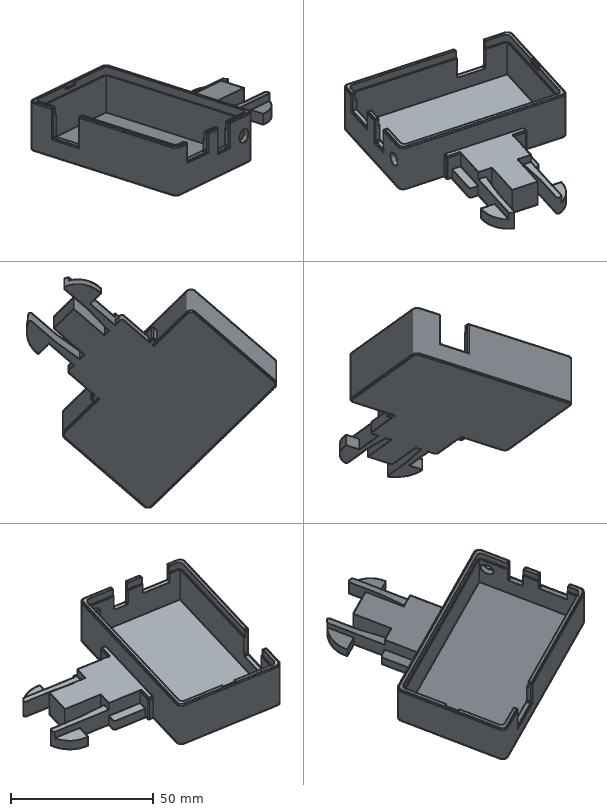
import cadquery as cq
import math

overall_length = 80.4

tray_length = 66.8
tray_width = 42.4
tray_height = 18.9
tray_corner_radius = 2.1
edge_chamfer = 0.5
wall = 2.1
floor = 1.5
lip_wall = 1.6
lip_depth = 3.1
lip_corner_radius = 1.5

front_notch_width = 11.5
front_notch_start = 10.7
front_notch_floor = 7.2

rear_notch_start = 13.1
rear_notch_end = 19.0
rear_notch_floor = 9.3
side_notch_start = 25.0
side_notch_end = 36.1
side_notch_floor = 11.6
hole_diameter = 5.0
hole_from_back = 5.1
hole_height = 11.0

groove_width = 5.1
groove_wall = 0.9
groove_depth = 1.5

clip_height = 10.2
flange_half_width = 16.1
flange_thickness = 2.0
body_half_width = 10.5
body_length = 14.95
shoulder_half_width = 14.0
shoulder_height = 4.2
shoulder_radius = 1.0
tongue_half_width = 5.15
tongue_length = 29.7
arm_height = 7.1
arm_tip_inner = 8.4
arm_root_inner = 7.5
arm_taper_end = 25.7
hook_half_width = flange_half_width
hook_heel = 26.9
hook_arc_start = 27.7
hook_tip_radius = 0.65
clip_length = overall_length - tray_width

half_length = tray_length / 2
tray_back = tray_width / 2
tray_front = -tray_width / 2
overlap = 0.8


def box(x0, x1, y0, y1, z0, z1):
    """Axis-aligned block between the given limits."""
    block = cq.Workplane("XY").box(x1 - x0, y1 - y0, z1 - z0, centered=False)
    return block.translate((x0, y0, z0))


def make_tray():
    """Open tray with a ledge around the rim for the lid."""
    shell = (
        cq.Workplane("XY")
        .rect(tray_length, tray_width)
        .extrude(tray_height)
        .edges("|Z").fillet(tray_corner_radius)
        .faces("<Z or >Z").edges().chamfer(edge_chamfer)
    )
    cavity = (
        cq.Workplane("XY", origin=(0, 0, floor))
        .rect(tray_length - 2 * wall, tray_width - 2 * wall)
        .extrude(tray_height)
    )
    lid_seat = (
        cq.Workplane("XY", origin=(0, 0, tray_height - lip_depth))
        .rect(tray_length - 2 * lip_wall, tray_width - 2 * lip_wall)
        .extrude(tray_height)
        .edges("|Z").fillet(lip_corner_radius)
    )
    return shell.cut(cavity).cut(lid_seat)


def notch_cutter(width, bottom, cut_left_corner=True):
    """Notch through a wall whose outer face is the plane Y=0.

    Its floor corners are cut at 45 degrees (the -X one optionally left square), it flares at the rim
    and it widens towards the outer face.
    """
    c = edge_chamfer
    half = width / 2
    rim = tray_height
    right_side = [(half - c, bottom), (half, bottom + c), (half, rim - c), (half + c, rim)]
    left_floor = [(-half, bottom + c), (c - half, bottom)] if cut_left_corner else [(-half, bottom)]
    left_side = [(-half - c, rim), (-half, rim - c)] + left_floor
    slot = cq.Workplane("XZ").polyline(right_side + left_side).close().extrude(-wall)
    bevel = (
        cq.Workplane("XZ")
        .center(0, (rim + bottom - c) / 2)
        .rect(width + 2 * c, rim - bottom + c)
        .workplane(offset=-c)
        .center(0, c / 2)
        .rect(width, rim - bottom)
        .loft()
    )
    return slot.union(bevel)


def front_notch():
    cutter = notch_cutter(front_notch_width, front_notch_floor)
    return cutter.translate((-half_length + front_notch_start + front_notch_width / 2, tray_front, 0))


def right_notch(start, end, bottom, cut_front_corner=True):
    cutter = notch_cutter(end - start, bottom, cut_front_corner).rotate((0, 0, 0), (0, 0, 1), 90)
    return cutter.translate((half_length, tray_back - (start + end) / 2, 0))


def hole():
    return (
        cq.Workplane("YZ", origin=(half_length - wall, tray_back - hole_from_back, hole_height))
        .circle(hole_diameter / 2)
        .extrude(wall)
    )


def pry_groove():
    x0 = -half_length + groove_wall
    return box(x0, x0 + wall, -groove_width / 2, groove_width / 2, tray_height - groove_depth, tray_height)


def make_arm():
    """Right-hand spring arm with its hook, Y measured from the tray's back."""
    tip_x = arm_tip_inner + hook_tip_radius
    tip_y = clip_length - hook_tip_radius
    run = hook_half_width - tip_x
    rise = tip_y - hook_arc_start
    arc_radius = (run**2 + rise**2 - hook_tip_radius**2) / (2 * (run - hook_tip_radius))
    arc_x = hook_half_width - arc_radius
    sweep = math.atan2(rise, tip_x - arc_x)

    def on_arc(angle):
        return (arc_x + arc_radius * math.cos(angle), hook_arc_start + arc_radius * math.sin(angle))

    hook_outline = (
        cq.Workplane("XY")
        .moveTo(arm_root_inner, 0)
        .lineTo(arm_root_inner, body_length)
        .lineTo(arm_tip_inner, arm_taper_end)
        .lineTo(arm_tip_inner, tip_y)
        .threePointArc((tip_x, clip_length), on_arc(sweep))
        .threePointArc(on_arc(sweep / 2), (hook_half_width, hook_arc_start))
        .lineTo(hook_half_width, hook_heel)
        .lineTo(body_half_width, hook_heel)
        .lineTo(body_half_width, 0)
        .close()
    )
    arm = hook_outline.extrude(arm_height)
    return arm.cut(box(body_half_width, hook_half_width, 0, clip_length, shoulder_height, arm_height))


def make_clip():
    """Flange, body, shoulders, tongue and two spring arms."""
    def block(half_width, length, height):
        return box(-half_width, half_width, -overlap, length, 0, height)

    flange = (
        box(-flange_half_width, flange_half_width, 0, flange_thickness, 0, clip_height)
        .edges("not <Y").chamfer(edge_chamfer)
    )
    shoulders = (
        block(shoulder_half_width, body_length, shoulder_height)
        .edges("|Z and >Y").fillet(shoulder_radius)
    )
    arm = make_arm()
    clip = (
        flange.union(shoulders)
        .union(block(body_half_width, body_length, clip_height))
        .union(block(tongue_half_width, tongue_length, clip_height))
        .union(arm)
        .union(arm.mirror("YZ"))
    )
    return clip.translate((0, tray_back, 0))


tray = (
    make_tray()
    .cut(front_notch())
    .cut(right_notch(rear_notch_start, rear_notch_end, rear_notch_floor))
    .cut(right_notch(side_notch_start, side_notch_end, side_notch_floor, cut_front_corner=False))
    .cut(hole())
    .cut(pry_groove())
)
result = tray.union(make_clip())